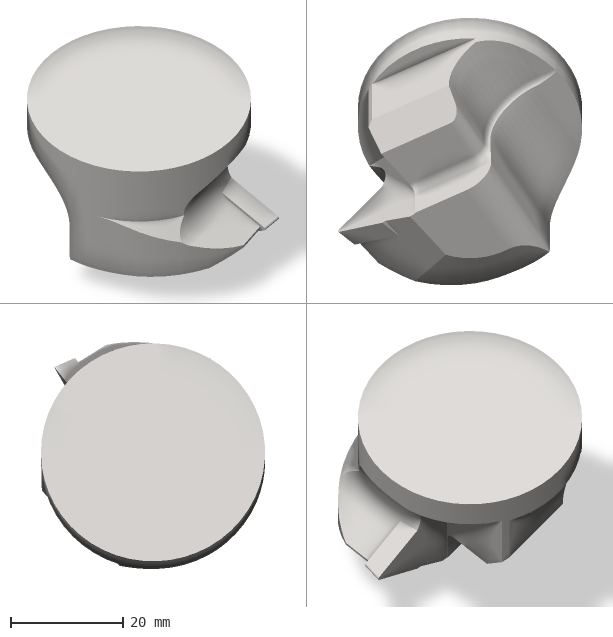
import cadquery as cq
import math

disc_diameter = 40.0
disc_radius = disc_diameter / 2
overall_length = 46.85
overall_height = 28.0
size = 2 * overall_height + disc_radius

shank_left = -5.7
scoop_radius = 10.0
scoop_center_z = -16.5
disc_edge_z = -6.1
bottom_round = 5.0

rear_recess = 0.65
rear_bottom_z = -21.05
rear_round = 2.2
rear_face_y = 16.95
rear_chamfer = 4.55
step_y = 2.55
step_fillet = 1.55
corner_reach = 0.35

flange_top_z = -11.7
flange_arc_x = 5.2
flange_arc_radius = 21.95
tooth_cone_z = -24.15

insert_turn = 8.0
flank_angle = 27.5
tip_x = overall_length - disc_radius
rake_v = 3.75
insert_thickness = 4.0
insert_relief = 0.6
tip_z = -19.45
tip_radius = 0.4
insert_half_height = 5.4
insert_back_u = 13.12

tooth_tip_u = 25.0
tooth_tip_half_width = 0.3
tooth_bottom_u = 10.55
neck_radius = 5.25
neck_left_u = 16.05
chip_pocket_u = 9.37
chip_pocket_top = -5.62

turn = math.radians(insert_turn)
flank = math.radians(flank_angle)
flank_slope = math.tan(flank)
tip_u = (tip_x - rake_v * math.sin(turn)) / math.cos(turn)


def turned_plane(v):
    """Vertical plane at distance v across the insert; local axes are u and Z."""
    origin = (v * math.sin(turn), v * math.cos(turn), 0)
    return cq.Plane(origin=origin, xDir=(math.cos(turn), -math.sin(turn), 0),
                    normal=(-math.sin(turn), -math.cos(turn), 0))


def side_profile(left, radius, bottom_z, corner):
    """XZ outline of disc, scoop and shank, extruded along Y over the whole part."""
    scoop_x = shank_left - scoop_radius
    scoop_top = scoop_center_z + radius
    diagonal = math.sqrt(0.5)
    return (
        cq.Workplane("XZ", origin=(0, size / 2, 0))
        .moveTo(-disc_radius, 0)
        .lineTo(-disc_radius, disc_edge_z)
        .lineTo(scoop_x, scoop_top)
        .threePointArc((scoop_x + radius * diagonal, scoop_center_z + radius * diagonal),
                       (left, scoop_center_z))
        .lineTo(left, bottom_z + corner)
        .threePointArc((left + corner * (1 - diagonal), bottom_z + corner * (1 - diagonal)),
                       (left + corner, bottom_z))
        .lineTo(size, bottom_z)
        .lineTo(size, 0)
        .close()
        .extrude(size)
    )


def flange_footprint():
    """Plan outline in front of the disc: tangent flat, then a wide arc."""
    arc_center_y = flange_arc_radius - disc_radius
    diagonal = flange_arc_radius * math.sqrt(0.5)
    return (
        cq.Workplane("XY", origin=(0, 0, -overall_height))
        .moveTo(0, -disc_radius)
        .lineTo(flange_arc_x, -disc_radius)
        .threePointArc((flange_arc_x + diagonal, arc_center_y - diagonal),
                       (flange_arc_x + flange_arc_radius, arc_center_y))
        .lineTo(0, disc_radius)
        .close()
        .extrude(overall_height)
    )


def turned_envelope():
    """Revolved limits: disc cylinder, 45 degree flange top and lower tooth cone."""
    cone_bottom_radius = disc_radius - (tooth_cone_z + overall_height) / flank_slope
    ring = (flange_top_z - tooth_cone_z) / (1 + flank_slope)
    return (
        cq.Workplane("XZ")
        .polyline([
            (0, 0), (disc_radius, 0), (disc_radius, flange_top_z),
            (disc_radius + ring, flange_top_z - ring),
            (cone_bottom_radius, -overall_height), (0, -overall_height),
        ])
        .close()
        .revolve(360, (0, 0, 0), (0, 1, 0))
    )


def tooth_profile():
    """Prism across the insert, bounded on the right by the neck and the tooth."""
    center_u = neck_left_u + neck_radius
    tooth_top_z = tip_z + tooth_tip_half_width
    flank_z = tooth_top_z + (tooth_tip_u - center_u) * flank_slope
    center_z = flank_z + neck_radius / math.cos(flank)
    diagonal = neck_radius * math.sqrt(0.5)
    neck_start = (center_u - diagonal, center_z + diagonal)
    neck_end = (center_u - neck_radius * math.sin(flank), center_z - neck_radius * math.cos(flank))
    return (
        cq.Workplane(turned_plane(size / 2))
        .moveTo(-size, 0)
        .lineTo(neck_start[0] - neck_start[1], 0)
        .lineTo(*neck_start)
        .threePointArc((neck_left_u, center_z), neck_end)
        .lineTo(tooth_tip_u, tooth_top_z)
        .lineTo(tooth_tip_u, tip_z - tooth_tip_half_width)
        .lineTo(tooth_bottom_u, -overall_height)
        .lineTo(-size, -overall_height)
        .close()
        .extrude(size)
    )


def make_insert():
    """Pointed insert with a rounded tip, narrowing away from its rake face."""
    def outline(work, relief):
        apex_u = tip_u - relief + tip_radius / math.sin(flank) - tip_radius
        round_u = tip_u - relief - tip_radius + tip_radius * math.sin(flank)
        round_z = tip_radius * math.cos(flank)
        shoulder_u = apex_u - insert_half_height / flank_slope
        return (
            work.moveTo(insert_back_u, tip_z + insert_half_height)
            .lineTo(shoulder_u, tip_z + insert_half_height)
            .lineTo(round_u, tip_z + round_z)
            .threePointArc((tip_u - relief, tip_z), (round_u, tip_z - round_z))
            .lineTo(shoulder_u, tip_z - insert_half_height)
            .lineTo(insert_back_u, tip_z - insert_half_height)
            .close()
        )

    rake = outline(cq.Workplane(turned_plane(rake_v)), 0)
    return outline(rake.workplane(offset=insert_thickness), insert_relief).loft(ruled=True)


def make_rear_block():
    """Recessed block with a chamfered lower rear edge and a fillet against the step."""
    rear = side_profile(shank_left + rear_recess, scoop_radius + rear_recess, rear_bottom_z, rear_round)
    limits = (
        cq.Workplane("YZ", origin=(-size / 2, 0, 0))
        .moveTo(step_y, 0)
        .lineTo(disc_radius, 0)
        .lineTo(disc_radius, disc_edge_z)
        .lineTo(rear_face_y, disc_edge_z)
        .lineTo(rear_face_y, rear_bottom_z + rear_chamfer)
        .lineTo(rear_face_y - rear_chamfer, rear_bottom_z)
        .lineTo(step_y, rear_bottom_z)
        .close()
        .extrude(2 * size)
    )
    return rear.intersect(limits)


def make_stepped_side():
    """Rear block blended into an oversized step, then trimmed by the front block outline."""
    step = (
        cq.Workplane("XY", origin=(-disc_radius, step_y, 0))
        .rect(size + disc_radius, -size, centered=False)
        .extrude(-overall_height)
    )
    joined = make_rear_block().union(step)
    corner_edges = joined.edges(cq.selectors.BoxSelector(
        (-disc_radius, step_y - corner_reach, disc_edge_z + corner_reach),
        (size, step_y + corner_reach, rear_bottom_z - corner_reach),
    ))
    blended = corner_edges.fillet(step_fillet)
    return blended.intersect(side_profile(shank_left, scoop_radius, -overall_height, bottom_round))


def make_housing(insert):
    """One-piece tool head with a chip pocket and a seat that matches the insert."""
    footprint = cq.Workplane("XY").circle(disc_radius).extrude(-overall_height).union(flange_footprint())
    housing = make_stepped_side().intersect(footprint).intersect(turned_envelope()).intersect(tooth_profile())
    chip_pocket = (
        cq.Workplane(turned_plane(rake_v))
        .moveTo(chip_pocket_u, chip_pocket_top)
        .rect(size, -size, centered=False)
        .extrude(-size)
    )
    return housing.cut(chip_pocket).cut(insert).solids()


insert = make_insert()
housing = make_housing(insert)
result = cq.Compound.makeCompound([housing.val(), insert.val()])